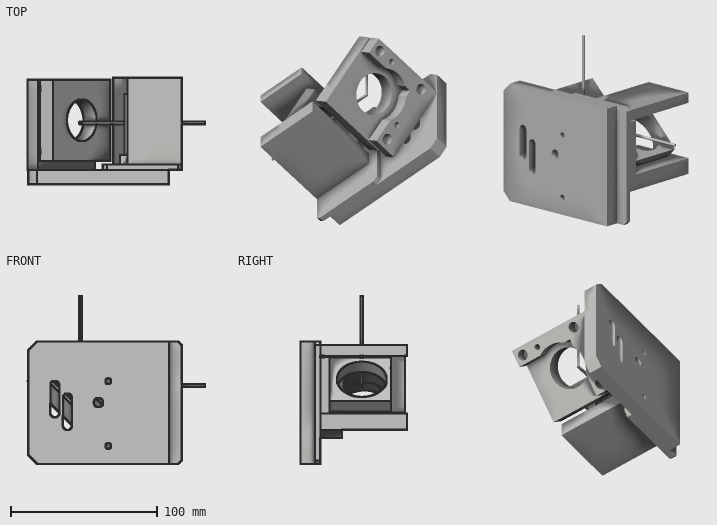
import cadquery as cq


BASE_WIDTH = 96.1
BASE_THICK = 9.9
PLATE_HEIGHT = 83.7
BASE_CHAMFER = 6.2
SLOT_WIDTH = 6.2
SLOT_LENGTH = 24.8
SLOT_CENTERS = [(18.3, 44.4), (26.9, 35.8)]
VIEW_HOLE_DIA = 6.3
VIEW_HOLE_CENTER = (48.0, 41.9)
SCREW_HOLE_DIA = 4.0
SCREW_HOLE_X = 54.8
SCREW_HOLE_HEIGHTS = [12.4, 56.6]

CARRIER_LEFT = 50.9
CARRIER_RIGHT = 105.0
CARRIER_THICK = 3.8
CARRIER_LEFT_CHAMFER = 3.2
CARRIER_RIGHT_CHAMFER = 2.5
CARRIER_BACK = BASE_THICK + CARRIER_THICK

SHELF_BACK = 72.8
UPPER_SHELF_LEFT = 67.9
UPPER_SHELF_BOTTOM = 73.9
UPPER_SHELF_TOP = 81.3
LOWER_SHELF_LEFT = 58.0
LOWER_SHELF_BOTTOM = 23.4
LOWER_SHELF_TOP = 34.5
WALL_LEFT = 62.9
WALL_THICK = 6.2
WALL_TOP = 73.1

BRACKET_CORNER = (-0.4, 56.7)
MOUNT_LENGTH = 55.3
MOUNT_BACK = 71.5
BRACKET_THICK = 9.9
BRACKET_DEPTH = MOUNT_BACK - BASE_THICK
LONG_LEG_WIDTH = 18.5
SHORT_LEG_WIDTH = 12.2
BRACKET_BORE_RADIUS = 18.4
HOLE_INSET = 6.2
BIG_HOLE_DIA = 7.4
SMALL_HOLE_DIA = 4.1
HOLE_SPACING = 12.2
MIRROR_GAP = 2.2
MIRROR_THICK = 12.7
MIRROR_FRONT_INSET = 6.0
MIRROR_HOLE_RADIUS = 14.3
MIRROR_DEPTH = BRACKET_DEPTH - MIRROR_FRONT_INSET

FILTER_CORNER = (65.8, 65.7)
FILTER_SIDE = 41.9
FILTER_THICK = 9.9
FILTER_FRONT = CARRIER_BACK + WALL_THICK
FILTER_HOLE_RADIUS = 17.0

BEAM_DIA = 1.9
BEAM_X = 35.9
BEAM_Y = 41.9
BEAM_Z = 53.6
BEAM_TOP = 114.8
BEAM_RIGHT = 120.8


def box_between(x_range, y_range, z_range):
    """Axis-aligned block between the given limits."""
    sizes = [high - low for low, high in (x_range, y_range, z_range)]
    block = cq.Workplane("XY").box(*sizes, centered=False)
    return block.translate((x_range[0], y_range[0], z_range[0]))


def tilted_plane(corner, front, lift=0):
    """Plane at 45 degrees: local x runs right and down, local y runs back, the normal up and right."""
    origin = cq.Vector(corner[0], front, corner[1])
    normal = cq.Vector(1, 0, 1).normalized()
    return cq.Workplane(cq.Plane(origin + normal * lift, xDir=(1, 0, -1), normal=normal))


def tilted_plate(plane, length, depth, thickness):
    return plane.rect(length, depth, centered=False).extrude(thickness)


def tilted_hole(plane, centers, radius, thickness):
    return plane.pushPoints(centers).circle(radius).extrude(thickness)


def make_base_plate():
    plate = box_between((0, BASE_WIDTH), (0, BASE_THICK), (0, PLATE_HEIGHT))
    plate = plate.edges("<X and |Y").chamfer(BASE_CHAMFER)
    front = cq.Workplane("XZ")
    slots = front.pushPoints(SLOT_CENTERS).slot2D(SLOT_LENGTH, SLOT_WIDTH, 90).extrude(-BASE_THICK)
    view_hole = front.center(*VIEW_HOLE_CENTER).circle(VIEW_HOLE_DIA / 2).extrude(-BASE_THICK)
    screw_centers = [(SCREW_HOLE_X, height) for height in SCREW_HOLE_HEIGHTS]
    screw_holes = front.pushPoints(screw_centers).circle(SCREW_HOLE_DIA / 2).extrude(-BASE_THICK)
    return plate.cut(slots).cut(view_hole).cut(screw_holes)


def make_carrier_plate():
    plate = box_between((CARRIER_LEFT, CARRIER_RIGHT), (BASE_THICK, CARRIER_BACK), (0, PLATE_HEIGHT))
    plate = plate.edges("<X and |Y").chamfer(CARRIER_LEFT_CHAMFER)
    return plate.edges(">X and |Y").chamfer(CARRIER_RIGHT_CHAMFER)


def make_shelf(left, bottom, top):
    return box_between((left, CARRIER_RIGHT), (CARRIER_BACK, SHELF_BACK), (bottom, top))


def make_wall():
    return box_between((WALL_LEFT, CARRIER_RIGHT), (CARRIER_BACK, FILTER_FRONT), (LOWER_SHELF_TOP, WALL_TOP))


def make_bracket():
    plane = tilted_plane(BRACKET_CORNER, BASE_THICK)
    outline = [
        (0, 0),
        (MOUNT_LENGTH, 0),
        (MOUNT_LENGTH, LONG_LEG_WIDTH),
        (SHORT_LEG_WIDTH, LONG_LEG_WIDTH),
        (SHORT_LEG_WIDTH, BRACKET_DEPTH),
        (0, BRACKET_DEPTH),
    ]
    bracket = plane.polyline(outline).close().extrude(BRACKET_THICK)

    bore_center = (MOUNT_LENGTH / 2, MIRROR_FRONT_INSET + MIRROR_DEPTH / 2)
    bracket = bracket.cut(tilted_hole(plane, [bore_center], BRACKET_BORE_RADIUS, BRACKET_THICK))

    near_x = HOLE_INSET
    far_x = MOUNT_LENGTH - HOLE_INSET
    front_y = MIRROR_FRONT_INSET + HOLE_INSET
    back_y = BRACKET_DEPTH - HOLE_INSET
    big_centers = [(near_x, front_y), (near_x, back_y), (far_x, front_y)]
    small_centers = [(near_x, back_y - HOLE_SPACING), (far_x - HOLE_SPACING, front_y)]
    bracket = bracket.cut(tilted_hole(plane, big_centers, BIG_HOLE_DIA / 2, BRACKET_THICK))
    return bracket.cut(tilted_hole(plane, small_centers, SMALL_HOLE_DIA / 2, BRACKET_THICK))


def make_mirror_mount():
    plane = tilted_plane(BRACKET_CORNER, BASE_THICK + MIRROR_FRONT_INSET, BRACKET_THICK + MIRROR_GAP)
    mount = tilted_plate(plane, MOUNT_LENGTH, MIRROR_DEPTH, MIRROR_THICK)
    center = (MOUNT_LENGTH / 2, MIRROR_DEPTH / 2)
    return mount.cut(tilted_hole(plane, [center], MIRROR_HOLE_RADIUS, MIRROR_THICK))


def make_filter_frame():
    plane = tilted_plane(FILTER_CORNER, FILTER_FRONT)
    frame = tilted_plate(plane, FILTER_SIDE, FILTER_SIDE, FILTER_THICK)
    center = (FILTER_SIDE / 2, BEAM_Y - FILTER_FRONT)
    return frame.cut(tilted_hole(plane, [center], FILTER_HOLE_RADIUS, FILTER_THICK))


def make_beam():
    """Round beam that comes down from above and turns right at a mitred corner."""
    path = cq.Workplane("XZ", origin=(0, BEAM_Y, 0)).polyline(
        [(BEAM_X, BEAM_TOP), (BEAM_X, BEAM_Z), (BEAM_RIGHT, BEAM_Z)]
    )
    profile = cq.Workplane("XY", origin=(BEAM_X, BEAM_Y, BEAM_TOP)).circle(BEAM_DIA / 2)
    return profile.sweep(path, transition="right")


base_plate = make_base_plate()
carrier_plate = make_carrier_plate()
upper_shelf = make_shelf(UPPER_SHELF_LEFT, UPPER_SHELF_BOTTOM, UPPER_SHELF_TOP)
lower_shelf = make_shelf(LOWER_SHELF_LEFT, LOWER_SHELF_BOTTOM, LOWER_SHELF_TOP)
wall = make_wall()
bracket = make_bracket()
mirror_mount = make_mirror_mount()
filter_frame = make_filter_frame()
beam = make_beam()

bodies = [
    base_plate,
    carrier_plate,
    upper_shelf,
    lower_shelf,
    wall,
    bracket,
    mirror_mount,
    filter_frame,
    beam,
]
result = cq.Compound.makeCompound([body.val() for body in bodies])